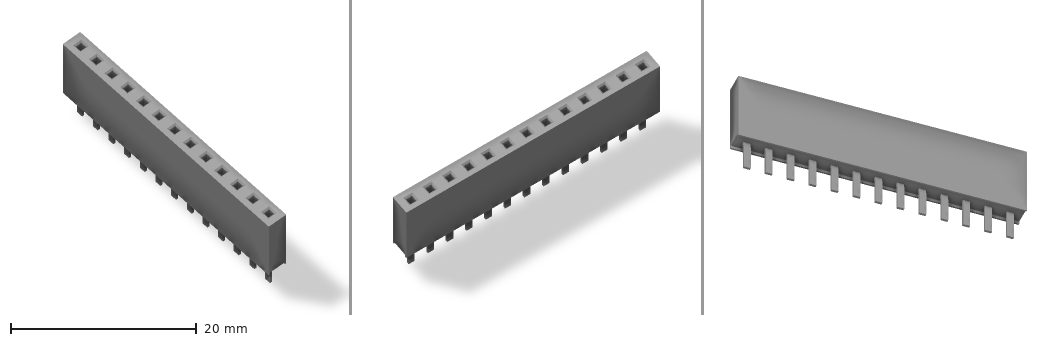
import cadquery as cq

length = 33.43
width = 2.5
housing_height = 8.5
channel_height = 0.35
channel_wall = 0.2

contact_count = 13
pitch = 2.55

socket_y = 0.07
mouth_side = 1.2
well_side = 0.8
lead_in_depth = (mouth_side - well_side) / 2
socket_depth = 6.02

total_height = 11.8
pin_width = 0.8
pin_thickness = 0.3
leg_y = 0.017
pin_root_y = 0.157
bend_drop = 0.3

housing_top = housing_height
pin_bottom = housing_height - total_height
contact_xs = [(i - (contact_count - 1) / 2) * pitch for i in range(contact_count)]


def make_housing():
    """Block with a shallow channel running along its whole underside."""
    block = cq.Workplane("XY").box(length, width, housing_height, centered=(True, True, False))
    channel = cq.Workplane("XY").box(
        length, width - 2 * channel_wall, channel_height, centered=(True, True, False)
    )
    return block.cut(channel)


def make_socket(x):
    """Square well with a funnel-shaped mouth at the top face."""
    lead_in = (
        cq.Workplane("XY", origin=(x, socket_y, housing_top - lead_in_depth))
        .rect(well_side, well_side)
        .workplane(offset=lead_in_depth)
        .rect(mouth_side, mouth_side)
        .loft(ruled=True)
    )
    well = (
        cq.Workplane("XY", origin=(x, socket_y, housing_top - socket_depth))
        .rect(well_side, well_side)
        .extrude(socket_depth - lead_in_depth)
    )
    return lead_in.union(well)


def make_pin(x):
    """Flat pin whose root leans towards +Y above the bend."""
    half = pin_thickness / 2
    return (
        cq.Workplane("YZ", origin=(x - pin_width / 2, 0, 0))
        .polyline([
            (leg_y - half, pin_bottom),
            (leg_y + half, pin_bottom),
            (leg_y + half, -bend_drop),
            (pin_root_y + half, channel_height),
            (pin_root_y - half, channel_height),
            (leg_y - half, -bend_drop),
        ])
        .close()
        .extrude(pin_width)
    )


result = make_housing()
for contact_x in contact_xs:
    result = result.cut(make_socket(contact_x)).union(make_pin(contact_x))